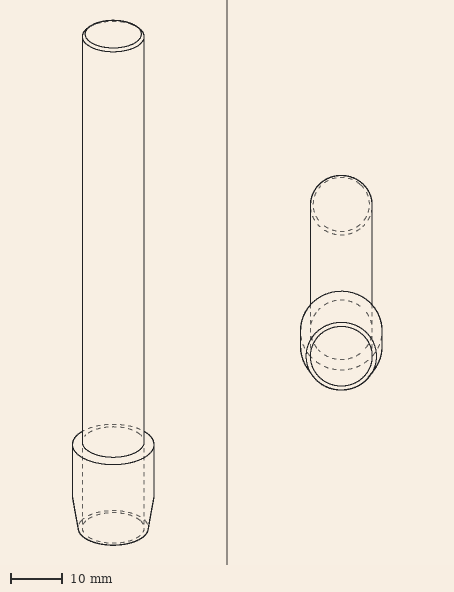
import cadquery as cq

rod_length = 110
rod_diameter = 12.0
rod_radius = rod_diameter / 2
rod_chamfer = 0.5

sleeve_radius = 7.9
sleeve_tip_radius = 6.8
taper_height = 7.0
shoulder_height = 18.6
sleeve_height = 19.1


def make_rod():
    """Full-length bar with a chamfered upper end."""
    return cq.Workplane("XY").circle(rod_radius).extrude(rod_length).faces(">Z").chamfer(rod_chamfer)


def make_sleeve():
    """Revolved ring with a tapered lower end and a sloping shoulder."""
    return (
        cq.Workplane("XZ")
        .moveTo(rod_radius, 0)
        .lineTo(sleeve_tip_radius, 0)
        .lineTo(sleeve_radius, taper_height)
        .lineTo(sleeve_radius, shoulder_height)
        .lineTo(rod_radius, sleeve_height)
        .close()
        .revolve(360, (0, 0, 0), (0, 1, 0))
    )


rod = make_rod()
sleeve = make_sleeve()

result = cq.Compound.makeCompound([rod.val(), sleeve.val()])